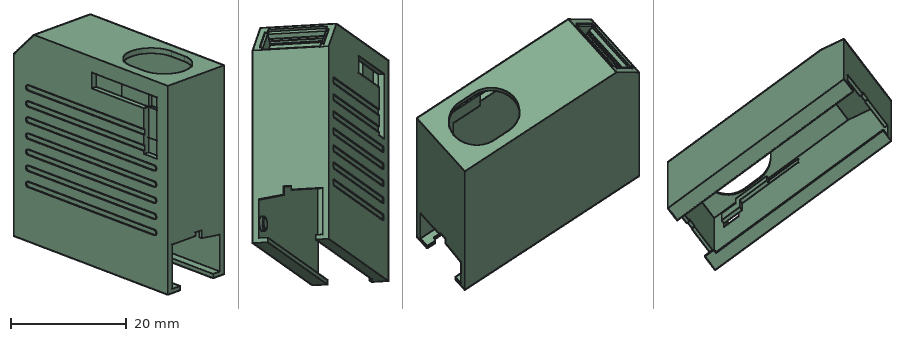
import cadquery as cq
import math

LENGTH = 38.1
WIDTH = 13.7
HEIGHT = 39.0
CORNER_CHAMFER = 5.0

SIDE_WALL = 1.1
END_WALL = 0.62
TOP_WALL = 1.0
BACKING = 0.62

LABEL_SHIFT = 0.27
LABEL_WIDTH = 10.5
RIM_LENGTH = 6.3
RIM_DEPTH = 0.45
RECESS_LENGTH = 4.68
RECESS_DEPTH = 2.57
INSET_DEPTH = 0.25

WALL_TAPER = 0.27
GROOVES_START = 1.25
UPPER_V_DEPTH = 0.25
LOWER_V_DEPTH = 0.27

LIP_HEIGHT = 0.8
FRONT_LIP = 2.35
BACK_LIP = 2.73
OPENING_HEIGHT = 9.1
NOTCH_TOP = 9.75
NOTCH_FRONT = 6.75
NOTCH_BACK = 8.2
SLOPE_TOP = 8.25
SLOPE_BOTTOM = 7.7

TAB_REACH = 3.0
TAB_LENGTH = 1.95
TAB_RADIUS = 0.3

BUTTON_X = 1.95
BUTTON_Z = 3.7
BUTTON_DIAMETER = 2.6
BUTTON_HEIGHT = 0.7
BUTTON_CHAMFER = 0.25

CABLE_HOLE_X = 28.63
CABLE_HOLE_LENGTH = 12.95
CABLE_HOLE_WIDTH = 9.75

WINDOW_LEFT = 19.25
WINDOW_RIGHT = 35.37
WINDOW_TOP = 36.08
WINDOW_CORNER_Z = 33.1
WINDOW_LEG_LEFT = 32.2
WINDOW_BOTTOM = 24.6

PLATE_THICKNESS = 0.7
PLATE_OVERLAP = 0.78
UPPER_PLATE_LEFT = 25.62
UPPER_PLATE_RIGHT = 32.35
LOWER_PLATE_BOTTOM = 27.38

GROOVE_COUNT = 7
GROOVE_PITCH = 3.0
GROOVE_HEIGHT = 1.0
GROOVE_DEPTH = 0.2
GROOVE_LEFT = 3.0
GROOVE_RIGHT = 35.18
TOP_GROOVE_Z = 28.65


def box(x0, x1, y0, y1, z0, z1):
    return cq.Workplane("XY").box(x1 - x0, y1 - y0, z1 - z0, centered=False).translate((x0, y0, z0))


def side_profile(left, right, bottom, top, chamfer, y0, y1):
    """Rectangle in XZ with its upper left corner cut at 45 degrees, spanning y0 to y1."""
    points = [
        (left, bottom),
        (right, bottom),
        (right, top),
        (left + chamfer, top),
        (left, top - chamfer),
    ]
    return cq.Workplane("XZ", origin=(0, y0, 0)).polyline(points).close().extrude(y0 - y1)


def shell():
    outside = side_profile(0, LENGTH, 0, HEIGHT, CORNER_CHAMFER, 0, WIDTH)
    slope_shift = (RECESS_DEPTH + BACKING) * math.sqrt(2)
    inner_chamfer = CORNER_CHAMFER + slope_shift - END_WALL - TOP_WALL
    cavity = side_profile(
        END_WALL, LENGTH - END_WALL, LIP_HEIGHT, HEIGHT - TOP_WALL,
        inner_chamfer, SIDE_WALL, WIDTH - SIDE_WALL,
    )
    return outside.cut(cavity)


def rail_opening():
    inner_back = WIDTH - SIDE_WALL
    back_lip_edge = WIDTH - BACK_LIP
    points = [
        (FRONT_LIP, 0),
        (FRONT_LIP, LIP_HEIGHT),
        (SIDE_WALL, LIP_HEIGHT),
        (SIDE_WALL, OPENING_HEIGHT),
        (NOTCH_FRONT, OPENING_HEIGHT),
        (NOTCH_FRONT, NOTCH_TOP),
        (NOTCH_BACK, NOTCH_TOP),
        (NOTCH_BACK, SLOPE_TOP),
        (inner_back, SLOPE_BOTTOM),
        (inner_back, LIP_HEIGHT),
        (back_lip_edge, LIP_HEIGHT),
        (back_lip_edge, 0),
    ]
    return cq.Workplane("YZ").polyline(points).close().extrude(LENGTH)


def lip_tab():
    tab = box(LENGTH - TAB_LENGTH, LENGTH, 0, TAB_REACH, 0, LIP_HEIGHT)
    return tab.edges("|Z and <X and >Y").fillet(TAB_RADIUS)


def button():
    plane = cq.Workplane("XZ", origin=(BUTTON_X, WIDTH - SIDE_WALL, BUTTON_Z))
    return plane.circle(BUTTON_DIAMETER / 2).extrude(BUTTON_HEIGHT).faces("<Y").chamfer(BUTTON_CHAMFER)


def label_recess():
    """Stepped recess with two V grooves in each long wall and a shallow inset at its ends."""
    half_rim = RIM_LENGTH / 2
    half_recess = RECESS_LENGTH / 2
    half_floor = half_recess - WALL_TAPER
    grooves_middle = GROOVES_START + 2 * UPPER_V_DEPTH
    grooves_end = grooves_middle + 2 * LOWER_V_DEPTH
    half_profile = [
        (half_rim, 0),
        (half_rim, -RIM_DEPTH),
        (half_recess, -RIM_DEPTH),
        (half_floor, -GROOVES_START),
        (half_floor + UPPER_V_DEPTH, -GROOVES_START - UPPER_V_DEPTH),
        (half_floor, -grooves_middle),
        (half_floor + LOWER_V_DEPTH, -grooves_middle - LOWER_V_DEPTH),
        (half_floor, -grooves_end),
        (half_floor, -RECESS_DEPTH),
    ]
    mirrored = [(-along, depth) for along, depth in reversed(half_profile)]
    slope_middle = cq.Workplane(cq.Plane(
        origin=(CORNER_CHAMFER / 2, WIDTH / 2, HEIGHT - CORNER_CHAMFER / 2),
        xDir=(1, 0, 1),
        normal=(0, -1, 0),
    ))
    center = slope_middle.center(-LABEL_SHIFT, 0)
    recess = center.polyline(half_profile + mirrored).close().extrude(LABEL_WIDTH / 2, both=True)
    inset = center.rect(RECESS_LENGTH, 2 * INSET_DEPTH).extrude(WIDTH / 2 - SIDE_WALL, both=True)
    return recess.union(inset)


def cable_hole():
    plane = cq.Workplane("XY", origin=(CABLE_HOLE_X, WIDTH / 2, HEIGHT))
    return plane.slot2D(CABLE_HOLE_LENGTH, CABLE_HOLE_WIDTH).extrude(-TOP_WALL)


def window():
    upper = box(WINDOW_LEFT, WINDOW_RIGHT, 0, SIDE_WALL, WINDOW_CORNER_Z, WINDOW_TOP)
    leg = box(WINDOW_LEG_LEFT, WINDOW_RIGHT, 0, SIDE_WALL, WINDOW_BOTTOM, WINDOW_TOP)
    return upper.union(leg)


def window_plates():
    back = SIDE_WALL + PLATE_THICKNESS
    upper = box(
        UPPER_PLATE_LEFT, UPPER_PLATE_RIGHT, SIDE_WALL, back,
        WINDOW_CORNER_Z, WINDOW_TOP + PLATE_OVERLAP,
    )
    lower = box(
        WINDOW_LEG_LEFT - PLATE_OVERLAP, WINDOW_RIGHT, SIDE_WALL, back,
        LOWER_PLATE_BOTTOM, WINDOW_CORNER_Z,
    )
    return upper.union(lower)


def front_grooves():
    centers = [(0, -row * GROOVE_PITCH) for row in range(GROOVE_COUNT)]
    plane = cq.Workplane("XZ", origin=((GROOVE_LEFT + GROOVE_RIGHT) / 2, 0, TOP_GROOVE_Z))
    slots = plane.pushPoints(centers).slot2D(GROOVE_RIGHT - GROOVE_LEFT, GROOVE_HEIGHT)
    return slots.extrude(-GROOVE_DEPTH)


housing = shell().cut(rail_opening()).cut(label_recess()).cut(cable_hole())
housing = housing.cut(front_grooves()).cut(window())
result = housing.union(window_plates()).union(lip_tab()).union(button())